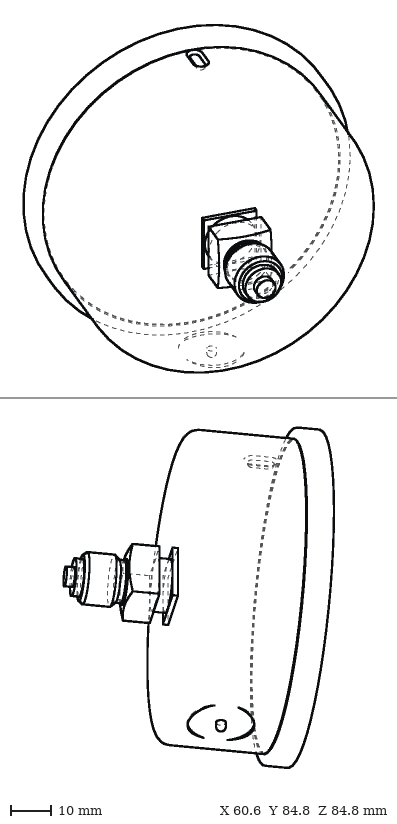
import cadquery as cq


bezel_diameter = 84.8
bezel_length = 6.4
bezel_fillet = 0.5
case_diameter = 79.0
case_back = 33.3
case_fillet = 2.9
seam_width = 0.25
seam_depth = 0.3

plate_end = 34.7
neck_end = 38.0
square_end = 45.7
relief_flare_end = 46.1
relief_end = 47.5
thread_start = 48.8
thread_chamfer_start = 55.6
thread_end = 56.65
pilot_end = 58.6
tip_end = 60.6

square_width = 14.0
corner_bevel_length = 0.9
corner_bevel_base_diameter = 13.5
neck_diameter = 13.5
relief_flare_diameter = 11.5
relief_diameter = 10.85
thread_diameter = 13.15
thread_end_diameter = 11.5
pilot_diameter = 9.5
tip_diameter = 5.0

slot_start = 6.9
slot_end = 15.35
slot_width = 4.15
slot_floor_diameter = 2.5
slot_taper_depth = 0.85

pin_x = 21.2
pin_diameter = 2.5
pin_tip_z = -41.1
spot_diameter = 16.6
spot_floor_z = -38.75


def disc(start, end, diameter):
    """Cylinder about the X axis between two X positions."""
    return cq.Workplane("YZ", origin=(start, 0, 0)).circle(diameter / 2).extrude(end - start)


def square_block(start, end):
    return cq.Workplane("YZ", origin=(start, 0, 0)).rect(square_width, square_width).extrude(end - start)


def gauge_case():
    bezel = disc(0, bezel_length, bezel_diameter).edges().fillet(bezel_fillet)
    seam_end = bezel_length + seam_width
    seam = disc(bezel_length, seam_end, case_diameter - 2 * seam_depth)
    drum = disc(seam_end, case_back, case_diameter).faces(">X").edges().fillet(case_fillet)
    return bezel.union(seam).union(drum)


def wrench_square():
    """Square section whose rear corners are bevelled by a cone."""
    square = square_block(neck_end, square_end)
    corner_radius = square_width / 2**0.5
    bevel_start = square_end - corner_bevel_length
    envelope = (
        cq.Workplane("XY")
        .moveTo(neck_end, 0)
        .lineTo(neck_end, corner_radius)
        .lineTo(bevel_start, corner_radius)
        .lineTo(square_end, corner_bevel_base_diameter / 2)
        .lineTo(square_end, 0)
        .close()
        .revolve(360, (0, 0, 0), (1, 0, 0))
    )
    return square.intersect(envelope)


def threaded_stem():
    """Relief groove, thread, pilot and tip turned about the X axis."""
    return (
        cq.Workplane("XY")
        .moveTo(square_end, 0)
        .lineTo(square_end, relief_flare_diameter / 2)
        .lineTo(relief_flare_end, relief_diameter / 2)
        .lineTo(relief_end, relief_diameter / 2)
        .lineTo(thread_start, thread_diameter / 2)
        .lineTo(thread_chamfer_start, thread_diameter / 2)
        .lineTo(thread_end, thread_end_diameter / 2)
        .lineTo(thread_end, pilot_diameter / 2)
        .lineTo(pilot_end, pilot_diameter / 2)
        .lineTo(pilot_end, tip_diameter / 2)
        .lineTo(tip_end, tip_diameter / 2)
        .lineTo(tip_end, 0)
        .close()
        .revolve(360, (0, 0, 0), (1, 0, 0))
    )


def vent_slot():
    """Cutter: slot with sloping walls, a half-round floor and rounded ends."""
    top_z = case_diameter / 2
    mouth_radius = slot_width / 2
    floor_radius = slot_floor_diameter / 2
    first_x = slot_start + mouth_radius
    last_x = slot_end - mouth_radius
    half_profile = [(0, 0), (mouth_radius, 0), (floor_radius, -slot_taper_depth)]
    lowest = (0, -slot_taper_depth - floor_radius)
    diagonal = floor_radius / 2**0.5

    def half_section(plane, x):
        return (
            cq.Workplane(plane, origin=(x, 0, top_z))
            .polyline(half_profile)
            .threePointArc((diagonal, -slot_taper_depth - diagonal), lowest)
            .close()
        )

    half_trough = half_section("YZ", first_x).extrude(last_x - first_x)
    cutter = half_trough.union(half_trough.mirror("XZ"))
    for x in (first_x, last_x):
        cutter = cutter.union(half_section("XZ", x).revolve(360, (0, 0, 0), (0, 1, 0)))
    return cutter


def spot_face():
    """Cutter for the round flat around the pin."""
    depth = case_diameter / 2 + spot_floor_z
    return cq.Workplane("XY", origin=(pin_x, 0, spot_floor_z)).circle(spot_diameter / 2).extrude(-depth)


def pin():
    radius = pin_diameter / 2
    root_z = spot_floor_z + radius
    blank = cq.Workplane("XY", origin=(pin_x, 0, root_z)).circle(radius)
    shank = blank.extrude(pin_tip_z + radius - root_z)
    dome = cq.Workplane("XY", origin=(pin_x, 0, pin_tip_z + radius)).sphere(radius)
    return shank.union(dome)


case = gauge_case().cut(vent_slot()).cut(spot_face()).union(pin())
plate = square_block(case_back, plate_end)
neck = disc(plate_end, neck_end, neck_diameter)
result = case.union(plate).union(neck).union(wrench_square()).union(threaded_stem())